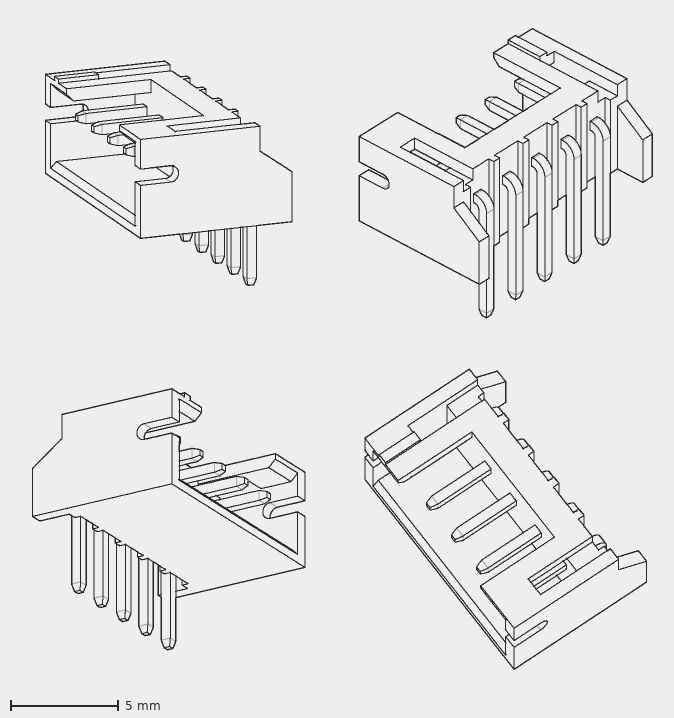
import cadquery as cq
import math


width = 11.9
depth = 7.6
height = 4.8
wall = 0.67
block_back_y = 6.0
cheek_back_height = 2.42
cheek_slope_top = 3.58

cavity_depth = 4.22
floor_thickness = 0.71
roof_thickness = 0.63
floor_chamfer = 0.3
roof_chamfer = 0.36
window_width = 6.58

roof_slot_width = 0.99
roof_slot_front_y = 2.0
key_width = 0.5
key_height = 0.2

notch_height = 0.79
notch_depth = 1.9
notch_centre_z = 2.96

pin_count = 5
pin_pitch = 2.0
pin_size = 0.5
pin_z = 3.1
pin_front_y = 0.8
pin_back_y = 6.51
pin_bottom_z = -3.4
tip_length = 0.37
tip_size = 0.3
bend_outer_radius = 0.74

recess_width = 1.6
recess_depth = 0.32

inner_half_width = width / 2 - wall
roof_z = height - roof_thickness
pin_positions = [(i - (pin_count - 1) / 2) * pin_pitch for i in range(pin_count)]


def box(x_range, y_range, z_range):
    """Axis-aligned box given by its (low, high) limits."""
    limits = (x_range, y_range, z_range)
    sizes = [high - low for low, high in limits]
    corner = tuple(low for low, high in limits)
    return cq.Workplane("XY").box(*sizes, centered=False).translate(corner)


def side_extrusion(profile, half_width):
    """Extrude a closed (Y, Z) profile symmetrically about X = 0."""
    return profile.close().extrude(half_width, both=True)


def make_outer_body():
    """Rear-sloped outline over the full width, with the middle cut back to the rear block."""
    outline = (
        cq.Workplane("YZ")
        .lineTo(depth, 0)
        .lineTo(depth, cheek_back_height)
        .lineTo(block_back_y, cheek_slope_top)
        .lineTo(block_back_y, height)
        .lineTo(0, height)
    )
    between_walls = box((-inner_half_width, inner_half_width), (block_back_y, depth), (0, height))
    return side_extrusion(outline, width / 2).cut(between_walls)


def make_cavity():
    """Mating cavity with lead-in chamfers at the mouth on the floor and the roof."""
    outline = (
        cq.Workplane("YZ")
        .moveTo(0, floor_thickness - floor_chamfer)
        .lineTo(floor_chamfer, floor_thickness)
        .lineTo(cavity_depth, floor_thickness)
        .lineTo(cavity_depth, roof_z)
        .lineTo(roof_chamfer, roof_z)
        .lineTo(0, roof_z + roof_chamfer)
    )
    return side_extrusion(outline, inner_half_width)


def make_window():
    """Opening through the roof, from the mouth to the back of the cavity."""
    return box((-window_width / 2, window_width / 2), (0, cavity_depth), (roof_z, height))


def make_notches():
    """Notch through both side walls, open at the mouth."""
    radius = notch_height / 2
    centre_y = notch_depth - radius
    outline = (
        cq.Workplane("YZ")
        .moveTo(0, notch_centre_z - radius)
        .lineTo(centre_y, notch_centre_z - radius)
        .threePointArc((notch_depth, notch_centre_z), (centre_y, notch_centre_z + radius))
        .lineTo(0, notch_centre_z + radius)
    )
    return side_extrusion(outline, width / 2)


def make_roof_slots():
    """Slots along both side walls, open at the back and as deep as the roof is thick."""
    left = box(
        (-inner_half_width, -inner_half_width + roof_slot_width),
        (roof_slot_front_y, block_back_y),
        (roof_z, height),
    )
    return left.union(left.mirror("YZ"))


def make_key():
    """Raised rib on the roof, lined up with the inner edge of the left slot."""
    key_right_x = -inner_half_width + roof_slot_width
    return box(
        (key_right_x - key_width, key_right_x),
        (0, roof_slot_front_y),
        (height, height + key_height),
    )


def make_recess(x):
    """Full-height recess in the back of the rear block around one pin."""
    return box(
        (x - recess_width / 2, x + recess_width / 2),
        (block_back_y - recess_depth, block_back_y),
        (0, height),
    )


def make_pin():
    """Right-angle square pin at X = 0 with a tapered tip on each end."""
    half = pin_size / 2
    top_z = pin_z + half
    bend_inner_radius = bend_outer_radius - pin_size
    bend_y = pin_back_y - bend_outer_radius
    bend_z = top_z - bend_outer_radius
    shank_front_y = pin_front_y + tip_length
    shank_bottom_z = pin_bottom_z + tip_length
    diagonal = math.sqrt(0.5)

    def bend_midpoint(radius):
        return (bend_y + radius * diagonal, bend_z + radius * diagonal)

    outline = (
        cq.Workplane("YZ")
        .moveTo(shank_front_y, top_z)
        .lineTo(bend_y, top_z)
        .threePointArc(bend_midpoint(bend_outer_radius), (pin_back_y, bend_z))
        .lineTo(pin_back_y, shank_bottom_z)
        .lineTo(pin_back_y - pin_size, shank_bottom_z)
        .lineTo(pin_back_y - pin_size, bend_z)
        .threePointArc(bend_midpoint(bend_inner_radius), (bend_y, pin_z - half))
        .lineTo(shank_front_y, pin_z - half)
    )
    shank = side_extrusion(outline, half)

    def make_tip(plane_name, origin):
        base = cq.Workplane(plane_name, origin=origin).rect(pin_size, pin_size)
        return base.workplane(offset=tip_length).rect(tip_size, tip_size).loft()

    front_tip = make_tip("XZ", (0, shank_front_y, pin_z))
    bottom_tip = make_tip("YX", (0, pin_back_y - half, shank_bottom_z))
    return shank.union(front_tip).union(bottom_tip)


result = make_outer_body()
for opening in (make_cavity(), make_window(), make_notches(), make_roof_slots()):
    result = result.cut(opening)
for pin_x in pin_positions:
    result = result.cut(make_recess(pin_x))
result = result.union(make_key())

pin = make_pin()
for pin_x in pin_positions:
    result = result.union(pin.translate((pin_x, 0, 0)))